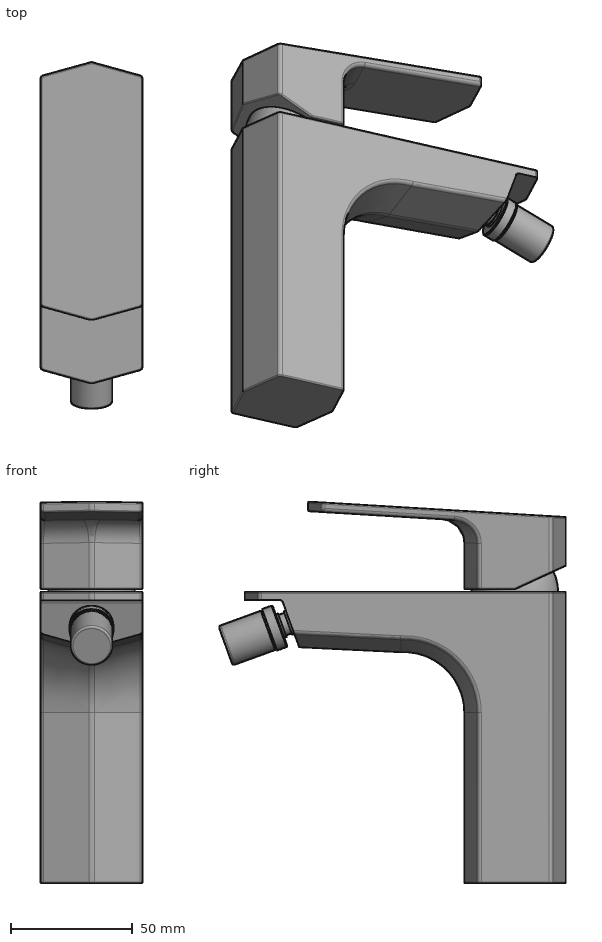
import cadquery as cq
import math

WIDTH = 42.0
HALF = WIDTH / 2
POINT_DEPTH = 5.8
CORNER_RADIUS = 1.7
RIDGE_RADIUS = 4.5
RIDGE_TRIM = RIDGE_RADIUS * (math.hypot(HALF, POINT_DEPTH) / HALF - 1)
EDGE_RADIUS = 0.6

HOUSING_TOP = 119.9
SPOUT_REACH = 111.3
LIP_THICKNESS = 3.5
LIP_UNDERSIDE = HOUSING_TOP - LIP_THICKNESS
MOUTH_TOP_Y = -95.7
MOUTH_TILT = 20.0
MOUTH_CORNER_RADIUS = 1.5
SPOUT_SLOPE = 2.8
BEND_RADIUS = 24.5
BEND_START = 70.3

LEVER_BOTTOM = 120.9
LEVER_REACH = 85.2
LEVER_RISE = 0.06
TOTAL_HEIGHT = 157.0
LEVER_TIP_TOP = TOTAL_HEIGHT + LEVER_RISE * (EDGE_RADIUS + RIDGE_TRIM)
BLADE_THICKNESS = 4.1
BLADE_BLEND_RADIUS = 9.4
BACK_RELIEF = 9.7

DOME_RADIUS = 17.9

AERATOR_Y = -96.5
AERATOR_Z = 105.8
NECK_RADIUS = 4.5
NECK_FLANGE_RADIUS = 5.2
NECK_FLANGE_LENGTH = 1.0
COLLAR_RADIUS = 9.1
COLLAR_LENGTH = 4.5
GROOVE_RADIUS = 8.2
GROOVE_LENGTH = 0.8
SLEEVE_RADIUS = 8.6
AERATOR_LENGTH = 23.9
SLEEVE_END_RADIUS = 1.0
COLLAR_CHAMFER = 0.5

TOLERANCE = 0.2
FAR = 188.4


def pointed_prism(reach, bottom, top):
    """Six-sided prism from the back point to a front point `reach` ahead of the tower centre."""
    outline = [
        (0, HALF),
        (HALF, HALF - POINT_DEPTH),
        (HALF, POINT_DEPTH - reach),
        (0, -reach),
        (-HALF, POINT_DEPTH - reach),
        (-HALF, HALF - POINT_DEPTH),
    ]
    return cq.Workplane("XY").workplane(offset=bottom).polyline(outline).close().extrude(top - bottom)


def side_profile(points):
    """Closed outline of (y, z) points, extruded across more than the full width."""
    return cq.Workplane("YZ").polyline(points).close().extrude(WIDTH, both=True)


def bend_wire(x, offset):
    """Outline of the space under the spout at `x`, moved outward by `offset`."""
    slope = math.radians(SPOUT_SLOPE)
    radius = BEND_RADIUS + offset
    centre_y = -HALF - BEND_RADIUS
    middle = (math.pi / 2 - slope) / 2
    wall_y = centre_y + radius
    bend_mid = (centre_y + radius * math.cos(middle), BEND_START + radius * math.sin(middle))
    bend_end = (centre_y - radius * math.sin(slope), BEND_START + radius * math.cos(slope))
    far_z = bend_end[1] + (FAR + bend_end[0]) * math.tan(slope)
    return (
        cq.Workplane("YZ", origin=(x, 0, 0))
        .moveTo(wall_y, -FAR)
        .lineTo(wall_y, BEND_START)
        .threePointArc(bend_mid, bend_end)
        .lineTo(-FAR, far_z)
        .lineTo(-FAR, -FAR)
        .close()
        .val()
    )


def spout_undercut():
    """Space in front of the tower and below the spout, with a V-shaped upper boundary."""
    half = cq.Solid.makeLoft([bend_wire(0, 0), bend_wire(HALF, POINT_DEPTH)], True)
    return cq.Workplane(half).union(cq.Workplane(half).mirror("YZ"))


def edges_near(body, low, high):
    """Edges of `body` whose centres lie in the box from `low` to `high`."""
    return body.edges(cq.selectors.BoxSelector(low, high))


def farthest_face(body, direction):
    """Face of `body` that lies farthest along `direction`."""
    return body.faces(cq.selectors.DirectionMinMaxSelector(direction))


def upright_edges(body, x, y):
    """Vertical edges of `body` that stand at (x, y)."""
    low = (x - TOLERANCE, y - TOLERANCE, 0)
    high = (x + TOLERANCE, y + TOLERANCE, FAR)
    return edges_near(body, low, high).edges("|Z")


def round_front_points(body, tip_reach):
    """Round the upright ridges of the tower or stem front and of the tip."""
    for reach in (HALF, tip_reach):
        body = upright_edges(body, 0, -reach).fillet(RIDGE_RADIUS)
    return body


def round_side_corners(body):
    """Round the upright corners of both sides, and the lower spout or blade edges that continue them."""
    for side in (-HALF, HALF):
        low = (side - TOLERANCE, -FAR, 0)
        high = (side + TOLERANCE, FAR, FAR)
        body = edges_near(body, low, high).edges("|Z").fillet(CORNER_RADIUS)
    return body


def mouth_undercut():
    """Space in front of the sloping mouth and below the lip."""
    mouth_run = LIP_UNDERSIDE * math.tan(math.radians(MOUTH_TILT))
    space = side_profile([
        (MOUTH_TOP_Y, LIP_UNDERSIDE),
        (MOUTH_TOP_Y + mouth_run, 0),
        (-FAR, 0),
        (-FAR, LIP_UNDERSIDE),
    ])
    return space.edges("|X").edges(">Z").edges(">Y").fillet(MOUTH_CORNER_RADIUS)


def make_housing():
    body = pointed_prism(SPOUT_REACH, 0, HOUSING_TOP)
    body = body.cut(spout_undercut()).cut(mouth_undercut())
    body = round_front_points(body, SPOUT_REACH)
    body = round_side_corners(body)
    return body.faces("<Z or >Z").edges().fillet(EDGE_RADIUS)


def blade_top(y):
    """Height of the sloping lever top at `y`."""
    return LEVER_TIP_TOP - LEVER_RISE * (LEVER_REACH + y)


def make_lever():
    back_top = blade_top(HALF)
    tip_underside = LEVER_TIP_TOP - BLADE_THICKNESS
    blade_band = side_profile([
        (HALF, back_top),
        (-LEVER_REACH, LEVER_TIP_TOP),
        (-LEVER_REACH, tip_underside),
        (HALF, back_top - BLADE_THICKNESS),
    ])
    stem_band = side_profile([
        (HALF, back_top),
        (HALF, LEVER_BOTTOM + BACK_RELIEF),
        (0, LEVER_BOTTOM),
        (-HALF, LEVER_BOTTOM),
        (-HALF, blade_top(-HALF)),
    ])
    blade = pointed_prism(LEVER_REACH, LEVER_BOTTOM, LEVER_TIP_TOP).intersect(blade_band)
    stem = pointed_prism(HALF, LEVER_BOTTOM, LEVER_TIP_TOP).intersect(stem_band)
    lever = round_front_points(blade.union(stem), LEVER_REACH)

    underside = blade_top(-HALF) - BLADE_THICKNESS
    low = (TOLERANCE - HALF, -HALF, underside - BLADE_THICKNESS)
    high = (HALF - TOLERANCE, POINT_DEPTH - HALF, underside + BLADE_THICKNESS)
    lever = edges_near(lever, low, high).edges("not |Z").fillet(BLADE_BLEND_RADIUS)

    lever = round_side_corners(lever)

    top_direction = cq.Vector(0, -LEVER_RISE, 1)
    lever = farthest_face(lever, top_direction).edges().fillet(EDGE_RADIUS)
    relief_direction = cq.Vector(0, BACK_RELIEF / HALF, -1)
    bottom = lever.faces("<Z").add(farthest_face(lever, relief_direction))
    return bottom.edges().fillet(EDGE_RADIUS)


def make_dome():
    base = cq.Workplane("XY", origin=(0, 0, HOUSING_TOP))
    upper_half = base.rect(WIDTH, WIDTH).extrude(WIDTH)
    return base.sphere(DOME_RADIUS).intersect(upper_half)


def make_aerator():
    """Neck, collar and sleeve turned in one piece, from the mouth outward."""
    tilt = math.radians(MOUTH_TILT)
    mouth_gap = (MOUTH_TOP_Y - AERATOR_Y) * math.cos(tilt) + (LIP_UNDERSIDE - AERATOR_Z) * math.sin(tilt)
    groove_end = COLLAR_LENGTH + GROOVE_LENGTH
    outline = [
        (0, -mouth_gap),
        (NECK_FLANGE_RADIUS, -mouth_gap),
        (NECK_FLANGE_RADIUS, NECK_FLANGE_LENGTH - mouth_gap),
        (NECK_RADIUS, NECK_FLANGE_LENGTH - mouth_gap),
        (NECK_RADIUS, -NECK_FLANGE_LENGTH),
        (NECK_FLANGE_RADIUS, -NECK_FLANGE_LENGTH),
        (NECK_FLANGE_RADIUS, 0),
        (COLLAR_RADIUS - COLLAR_CHAMFER, 0),
        (COLLAR_RADIUS, COLLAR_CHAMFER),
        (COLLAR_RADIUS, COLLAR_LENGTH),
        (GROOVE_RADIUS, COLLAR_LENGTH),
        (GROOVE_RADIUS, groove_end),
        (SLEEVE_RADIUS, groove_end),
        (SLEEVE_RADIUS, AERATOR_LENGTH),
        (0, AERATOR_LENGTH),
    ]
    axis = cq.Vector(0, -math.cos(tilt), -math.sin(tilt))
    across = cq.Vector(1, 0, 0)
    plane = cq.Plane(origin=(0, AERATOR_Y, AERATOR_Z), xDir=across, normal=across.cross(axis))
    aerator = cq.Workplane(plane).polyline(outline).close().revolve(360, (0, 0), (0, 1))
    return farthest_face(aerator, axis).edges().fillet(SLEEVE_END_RADIUS)


housing = make_housing()
dome = make_dome()
lever = make_lever().cut(dome)
aerator = make_aerator()

result = cq.Compound.makeCompound([housing.val(), dome.val(), lever.val(), aerator.val()])